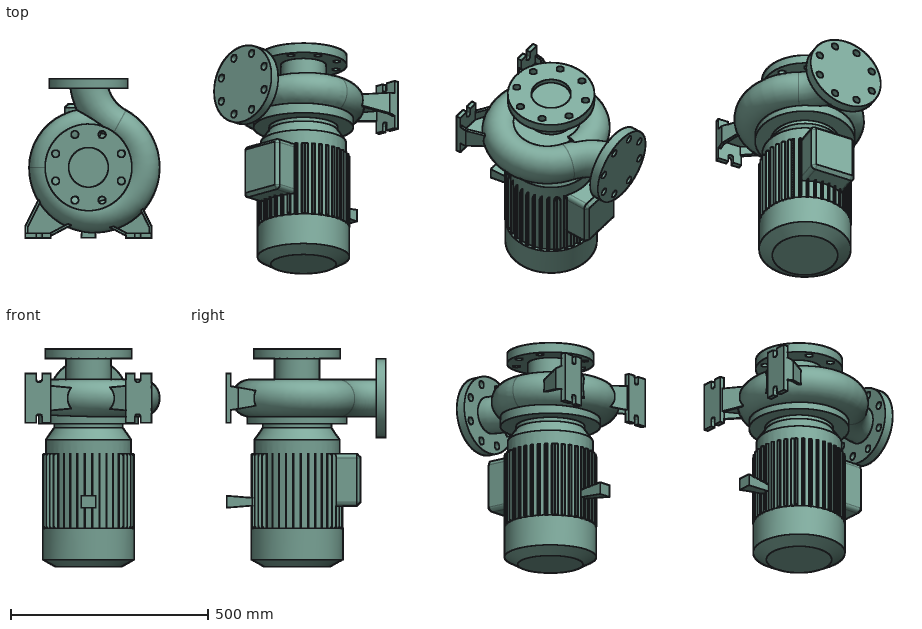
import cadquery as cq
import math


overall_height = 553

suction_top_z = 125.0
suction_flange_radius = 110.0
suction_neck_radius = 57.5
suction_bolt_circle_radius = 90.0
suction_bore_radius = 50.5
suction_bore_depth = 12.0

discharge_face_y = 225.0
discharge_flange_radius = 100.0
discharge_bolt_circle_radius = 80.0

flange_thickness = 25.0
bolt_hole_radius = 9.5
bolt_count = 8

volute_center_x = 15.0
volute_outer_radius = 166.0
tube_radius = 47.5
tongue_radius = 43.5
tongue_end_angle = 70
hub_radius = 88.5
hub_top_z = 35.5

back_plate_radius = 126.5
back_plate_top_z = -30.5
back_plate_bottom_z = -65.0
lantern_radius = 87.5
lantern_bottom_z = -75.0
shell_radius = 108.5
shell_top_z = -105.0
fins_top_z = -140.5
fins_bottom_z = -330.0
cowl_radius = 116.5
cowl_chamfer_z = -409.0
cowl_end_radius = 83.0
motor_bottom_z = suction_top_z - overall_height

fin_thickness = 2.0
fin_corner_radius = 6.5
fin_pitch_angle = 10
fins_per_side = 10
fin_root_overlap = 5.5

box_width = 121.0
box_back_y = 161.0
box_top_z = -140.5
box_bottom_z = -274.0
box_edge_radius = 11.0
box_chamfer = 9.5

peg_z = -262.5
peg_root_y = -105.0
peg_tip_y = -178.5
peg_root_size = (20.0, 19.0)
peg_tip_size = (37.5, 31.0)

foot_face_y = -180.0
foot_thickness = 12.0
foot_width = 65.0
foot_height = 125.0
foot_outer_x = 160.5
foot_slot_x = 125.0
foot_slot_width = 14.5
foot_slot_depth = 22.0
leg_knee_y = -149.5
leg_outer_root = (121.5, -72.0)
leg_inner_root = (33.0, -141.0)
leg_inner_start_y = -173.5
leg_plate_half_height = 32.5
leg_root_half_height = 13.0
leg_wall = 6.5
leg_web_thickness = 10.0

foot_inner_x = foot_outer_x - foot_width
tube_path_radius = volute_outer_radius - tube_radius
tongue_start_x = volute_center_x - tube_path_radius


def cylinder_z(radius, bottom, top, center_x=0):
    base = cq.Workplane("XY", origin=(center_x, 0, bottom))
    return base.circle(radius).extrude(top - bottom)


def bolt_holes(plane, circle_radius):
    """Through holes for one flange, straddling the flange's main axes."""
    return (
        cq.Workplane(plane)
        .polarArray(circle_radius, 180 / bolt_count, 360, bolt_count)
        .circle(bolt_hole_radius)
        .extrude(-flange_thickness)
    )


def make_suction():
    neck = cylinder_z(suction_neck_radius, 0, suction_top_z)
    flange = cylinder_z(suction_flange_radius, suction_top_z - flange_thickness, suction_top_z)
    bore = cylinder_z(suction_bore_radius, suction_top_z - suction_bore_depth, suction_top_z)
    face = cq.Plane(origin=(0, 0, suction_top_z), xDir=(1, 0, 0), normal=(0, 0, 1))
    return neck.union(flange).cut(bolt_holes(face, suction_bolt_circle_radius)).cut(bore)


def make_discharge_flange():
    face = cq.Plane(origin=(0, discharge_face_y, 0), xDir=(1, 0, 0), normal=(0, 1, 0))
    flange = cq.Workplane(face).circle(discharge_flange_radius).extrude(-flange_thickness)
    return flange.cut(bolt_holes(face, discharge_bolt_circle_radius))


def volute_tube():
    """Round tube along a half turn, then on to a reverse bend that ends square to the discharge face."""
    bend_radius = (volute_center_x**2 + discharge_face_y**2 - tube_path_radius**2) / (
        2 * (volute_center_x + tube_path_radius)
    )
    turn_angle = math.degrees(math.atan2(discharge_face_y, bend_radius - volute_center_x))
    turn = (
        cq.Workplane("XZ", origin=(tongue_start_x, 0, 0))
        .circle(tube_radius)
        .revolve(180 + turn_angle, (tube_path_radius, 0, 0), (tube_path_radius, 1, 0))
    )
    bend = (
        cq.Workplane("XZ", origin=(0, discharge_face_y, 0))
        .circle(tube_radius)
        .revolve(turn_angle, (bend_radius, 0, 0), (bend_radius, 1, 0))
    )
    return turn.union(bend)


def volute_tongue():
    """Narrowing tube that closes the spiral, centred on the motor axis."""
    path_radius = -tongue_start_x

    def point_at(angle):
        return path_radius * math.cos(math.radians(angle)), path_radius * math.sin(math.radians(angle))

    end = point_at(tongue_end_angle)
    path = (
        cq.Workplane("XY")
        .moveTo(tongue_start_x, 0)
        .threePointArc(point_at((180 + tongue_end_angle) / 2), end)
    )
    end_angle = math.radians(tongue_end_angle)
    end_plane = cq.Plane(
        origin=(*end, 0),
        xDir=(-math.cos(end_angle), -math.sin(end_angle), 0),
        normal=(math.sin(end_angle), -math.cos(end_angle), 0),
    )
    start_plane = cq.Plane(origin=(tongue_start_x, 0, 0), xDir=(1, 0, 0), normal=(0, 1, 0))
    return (
        cq.Workplane(start_plane)
        .circle(tube_radius)
        .copyWorkplane(cq.Workplane(end_plane))
        .circle(tongue_radius)
        .sweep(path, multisection=True)
    )


def make_volute():
    hub = cylinder_z(hub_radius, back_plate_bottom_z, hub_top_z, volute_center_x)
    back_plate = cylinder_z(back_plate_radius, back_plate_bottom_z, back_plate_top_z)
    return volute_tube().union(volute_tongue()).union(hub).union(back_plate)


def make_motor_body():
    profile = [
        (0, back_plate_top_z),
        (lantern_radius, back_plate_top_z),
        (lantern_radius, lantern_bottom_z),
        (shell_radius, shell_top_z),
        (shell_radius, fins_bottom_z),
        (cowl_radius, fins_bottom_z),
        (cowl_radius, cowl_chamfer_z),
        (cowl_end_radius, motor_bottom_z),
        (0, motor_bottom_z),
    ]
    return cq.Workplane("XZ").polyline(profile).close().revolve(360, (0, 0, 0), (0, 1, 0))


def add_fins(body):
    """Four groups of parallel fins, equally spaced by angle around the shell."""
    for index in range(fins_per_side):
        angle = math.radians((index - (fins_per_side - 1) / 2) * fin_pitch_angle)
        offset = shell_radius * math.sin(angle)
        root = shell_radius * math.cos(angle) - fin_root_overlap
        tip = math.sqrt(cowl_radius**2 - offset**2)
        fin = (
            cq.Workplane("XY")
            .box(
                fin_thickness,
                tip - root,
                fins_top_z - fins_bottom_z,
                centered=(True, False, False),
            )
            .translate((offset, root, fins_bottom_z))
            .edges(">Y and |X")
            .fillet(fin_corner_radius)
        )
        for side in range(4):
            body = body.union(fin.rotate((0, 0, 0), (0, 0, 1), 90 * side))
    return body


def make_terminal_box():
    height = box_top_z - box_bottom_z
    return (
        cq.Workplane("XY")
        .box(box_width, box_back_y, height, centered=(True, False, False))
        .translate((0, 0, box_bottom_z))
        .edges("|Y")
        .fillet(box_edge_radius)
        .faces(">Y")
        .chamfer(box_chamfer)
    )


def make_peg():
    return (
        cq.Workplane("XZ", origin=(0, peg_root_y, peg_z))
        .rect(*peg_root_size)
        .workplane(offset=peg_root_y - peg_tip_y)
        .rect(*peg_tip_size)
        .loft()
    )


def make_foot_plate():
    """Upright plate with an open slot in its top and bottom edges."""
    slot_radius = foot_slot_width / 2
    plate = (
        cq.Workplane("XY")
        .box(foot_width, foot_thickness, foot_height, centered=(False, False, True))
        .translate((foot_inner_x, foot_face_y, 0))
    )
    for end in (1, -1):
        edge_z = end * foot_height / 2
        bottom_z = edge_z - end * foot_slot_depth
        arc_z = bottom_z + end * slot_radius
        slot = (
            cq.Workplane("XZ", origin=(foot_slot_x, foot_face_y, 0))
            .moveTo(-slot_radius, edge_z)
            .lineTo(-slot_radius, arc_z)
            .threePointArc((0, bottom_z), (slot_radius, arc_z))
            .lineTo(slot_radius, edge_z)
            .close()
            .extrude(-foot_thickness)
        )
        plate = plate.cut(slot)
    return plate


def leg_plan():
    """Closed plan outline of the leg, placed at the foot's lower edge."""
    return (
        cq.Workplane("XY", origin=(0, 0, -foot_height / 2))
        .polyline(
            [
                (foot_outer_x, foot_face_y),
                (foot_outer_x, leg_knee_y),
                leg_outer_root,
                leg_inner_root,
                (foot_inner_x, leg_inner_start_y),
                (foot_inner_x, foot_face_y),
            ]
        )
        .close()
    )


def make_leg():
    """Leg of two side walls joined by a middle web; it gets lower towards the volute."""
    side_profile = (
        cq.Workplane("YZ")
        .polyline(
            [
                (foot_face_y, leg_plate_half_height),
                (leg_outer_root[1], leg_root_half_height),
                (leg_outer_root[1], -leg_root_half_height),
                (foot_face_y, -leg_plate_half_height),
            ]
        )
        .close()
        .extrude(foot_outer_x)
    )
    walls = leg_plan().extrude(foot_height).intersect(side_profile)
    pocket = leg_plan().offset2D(-leg_wall, "intersection").extrude(foot_height)
    web = cq.Workplane("XY").box(2 * foot_outer_x, -2 * foot_face_y, leg_web_thickness)
    return walls.cut(pocket.cut(web))


def make_foot():
    """Foot on the +X side."""
    return make_foot_plate().union(make_leg())


foot = make_foot()
pump = make_volute().union(make_suction()).union(make_discharge_flange())
motor = add_fins(make_motor_body()).union(make_terminal_box()).union(make_peg())
result = pump.union(motor).union(foot).union(foot.mirror("YZ"))